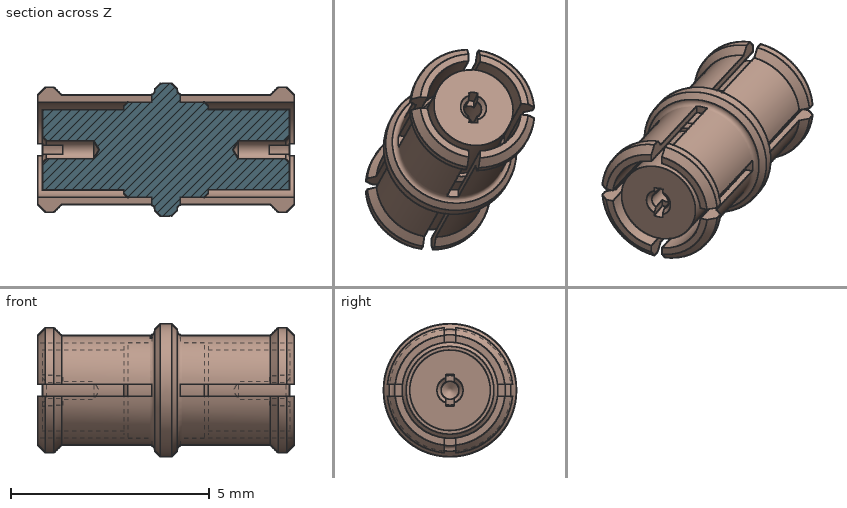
import cadquery as cq
import math


half_length = 3.225
tube_radius = 1.385
bore_radius = 1.205

rim_radius = 1.58
rim_chamfer = rim_radius - tube_radius
rim_land = 0.21

flange_diameter = 3.35
flange_radius = flange_diameter / 2
flange_half_width = 0.285
flange_chamfer = 0.14
flange_fillet = 0.115

slot_count = 4
slot_width = 0.29
slot_end = 0.36

insulator_radius = 1.01
insulator_recess = 0.115
insulator_end = half_length - insulator_recess
shoulder_radius = 1.1
shoulder_end = 1.065
shoulder_chamfer = bore_radius - shoulder_radius

socket_radius = 0.225
socket_mouth_radius = 0.33
socket_depth = 1.29
drill_tip_angle = 118.0
key_width = 0.225
key_mouth_radius = 0.405
key_floor_radius = 0.375
key_depth = 0.515


def double_ended(half_body):
    """The half body joined to its copy turned end for end about Z."""
    turned = half_body.rotate((0, 0, 0), (0, 0, 1), 180)
    return half_body.union(turned).clean()


def revolve_about_x(profile):
    """Revolve a closed (x, radius) profile around the X axis."""
    return profile.close().revolve(360, (0, 0, 0), (1, 0, 0))


def sleeve_half():
    """+X half of the sleeve, with a solid core as far as the chamfered shoulder."""
    flange_foot_radius = tube_radius + flange_fillet
    fillet_centre_x = flange_half_width + flange_fillet
    fillet_reach = flange_fillet * math.sqrt(0.5)
    rim_inner_x = half_length - rim_chamfer - rim_land
    profile = (
        cq.Workplane("XY")
        .moveTo(0, 0)
        .lineTo(0, flange_radius)
        .lineTo(flange_half_width - flange_chamfer, flange_radius)
        .lineTo(flange_half_width, flange_radius - flange_chamfer)
        .lineTo(flange_half_width, flange_foot_radius)
        .threePointArc(
            (fillet_centre_x - fillet_reach, flange_foot_radius - fillet_reach),
            (fillet_centre_x, tube_radius),
        )
        .lineTo(rim_inner_x - rim_chamfer, tube_radius)
        .lineTo(rim_inner_x, rim_radius)
        .lineTo(half_length - rim_chamfer, rim_radius)
        .lineTo(half_length, tube_radius)
        .lineTo(half_length, bore_radius)
        .lineTo(shoulder_end - shoulder_chamfer, bore_radius)
        .lineTo(shoulder_end, shoulder_radius)
        .lineTo(shoulder_end, 0)
    )
    return revolve_about_x(profile)


def finger_slots():
    """Radial slots through the sleeve wall, from its +X end into the flange fillet."""
    slot_length = half_length - slot_end
    slots = cq.Workplane("XY")
    for index in range(slot_count):
        slot = (
            cq.Workplane("XY")
            .box(slot_length, slot_width, rim_radius, centered=(False, True, False))
            .translate((slot_end, 0, 0))
            .rotate((0, 0, 0), (1, 0, 0), index * 360 / slot_count)
        )
        slots = slots.union(slot)
    core = cq.Workplane("YZ").circle(bore_radius).extrude(half_length)
    return slots.cut(core)


def insulator_nose():
    """Insulator cylinder standing inside the +X end of the sleeve."""
    return cq.Workplane("YZ").circle(insulator_radius).extrude(insulator_end)


def contact_socket():
    """Drilled socket with a countersunk mouth and two opposite key slots that taper inward."""
    mouth_depth = socket_mouth_radius - socket_radius
    tip_length = socket_radius / math.tan(math.radians(drill_tip_angle / 2))
    floor_x = insulator_end - socket_depth
    drill = revolve_about_x(
        cq.Workplane("XY")
        .moveTo(insulator_end, 0)
        .lineTo(insulator_end, socket_mouth_radius)
        .lineTo(insulator_end - mouth_depth, socket_radius)
        .lineTo(floor_x, socket_radius)
        .lineTo(floor_x - tip_length, 0)
    )
    key_envelope = revolve_about_x(
        cq.Workplane("XY")
        .moveTo(insulator_end, 0)
        .lineTo(insulator_end, key_mouth_radius)
        .lineTo(insulator_end - key_depth, key_floor_radius)
        .lineTo(insulator_end - key_depth, 0)
    )
    key = (
        cq.Workplane("YZ")
        .rect(key_width, 2 * key_mouth_radius)
        .extrude(insulator_end)
        .intersect(key_envelope)
    )
    return drill.union(key)


half = sleeve_half().cut(finger_slots()).union(insulator_nose()).cut(contact_socket())
result = double_ended(half)